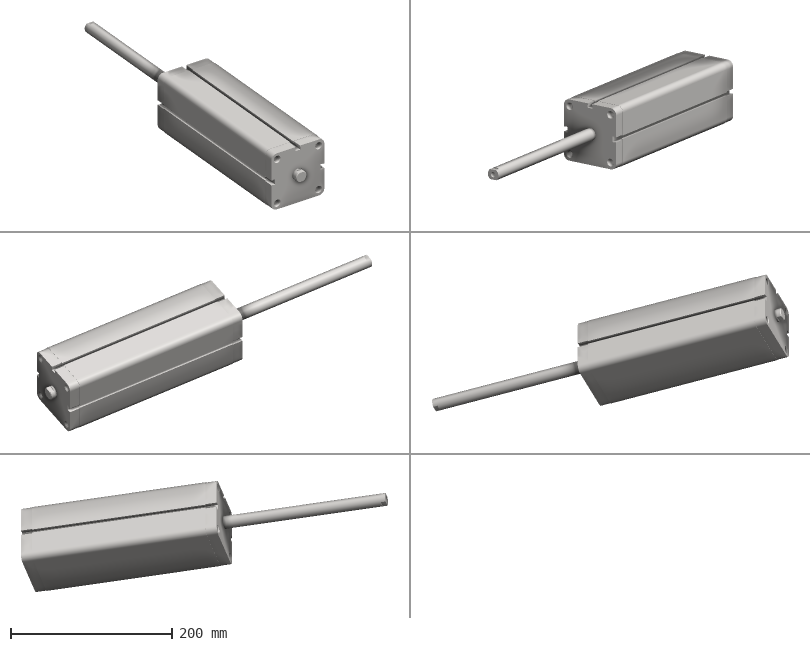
import cadquery as cq
import math

side = 80.0
housing_length = 250.0
cap_length = 14.0
tube_length = housing_length - 2 * cap_length
cap_inset = 0.3
cap_side = side - 2 * cap_inset
corner_radius = 8.0

hole_diameter = 8.0
hole_edge_distance = 9.0
hole_spacing = side - 2 * hole_edge_distance
hole_chamfer = 1.0

tube_mouth = 4.4
cap_mouth = 6.4
undercut_width = 7.4
groove_depth = 6.0
lip_thickness = 2.5
groove_angles = (0, 90, -90)

rod_diameter = 16.0
rod_front_length = 207.0
rod_rear_length = 8.0
rod_length = rod_front_length + housing_length + rod_rear_length
rod_start = -rod_front_length
rod_end = rod_start + rod_length
rear_chamfer = 1.0
bore_chamfer = 0.5

flat_length = 6.0
across_flats = 13.0

tapped_hole_diameter = 6.8
tapped_hole_depth = 20.0
drill_point_angle = 118.0


def section_at(x):
    """Workplane facing +X at the given x, with local axes along Y and Z."""
    return cq.Workplane("YZ", origin=(x, 0, 0))


def make_block(start, length, block_side):
    """Rounded square block with the rod bore and the four corner holes."""
    block = section_at(start).rect(block_side, block_side).extrude(length)
    block = block.edges("|X").fillet(corner_radius)
    bore = section_at(start).circle(rod_diameter / 2).extrude(length)
    corner_holes = (
        section_at(start)
        .rect(hole_spacing, hole_spacing, forConstruction=True)
        .vertices()
        .circle(hole_diameter / 2)
        .extrude(length)
    )
    return block.cut(bore).cut(corner_holes)


def make_channel(start, length, width, top_depth, bottom_depth):
    """Straight channel in the +Z side between two depths below its surface."""
    height = bottom_depth - top_depth
    centre_z = side / 2 - (top_depth + bottom_depth) / 2
    return section_at(start).center(0, centre_z).rect(width, height).extrude(length)


def cut_grooves(block, start, length, mouth_width):
    """Cut a T-shaped groove along each grooved side of the block."""
    mouth = make_channel(start, length, mouth_width, 0, lip_thickness)
    undercut = make_channel(start, length, undercut_width, lip_thickness, groove_depth)
    groove = mouth.union(undercut)
    for angle in groove_angles:
        block = block.cut(groove.rotate((0, 0, 0), (1, 0, 0), angle))
    return block


def make_cap(start, outer_face):
    """End cap whose holes and bore are chamfered on the outer face."""
    cap = make_block(start, cap_length, cap_side)
    hole_rims = cq.selectors.RadiusNthSelector(0)
    cap = cap.faces(outer_face).edges(hole_rims).chamfer(hole_chamfer)
    bore_zone = cq.selectors.BoxSelector(
        (start - cap_length, -rod_diameter, -rod_diameter),
        (start + 2 * cap_length, rod_diameter, rod_diameter),
    )
    cap = cap.faces(outer_face).edges(bore_zone).chamfer(bore_chamfer)
    return cut_grooves(cap, start, cap_length, cap_mouth)


def make_tube():
    """Middle profile between the caps."""
    tube = make_block(cap_length, tube_length, side)
    return cut_grooves(tube, cap_length, tube_length, tube_mouth)


def make_tapped_hole():
    """Blind drilled hole with a conical bottom, revolved about the X axis."""
    radius = tapped_hole_diameter / 2
    point_length = radius / math.tan(math.radians(drill_point_angle / 2))
    bottom = rod_start + tapped_hole_depth
    return (
        cq.Workplane("XY")
        .moveTo(rod_start, 0)
        .lineTo(rod_start, radius)
        .lineTo(bottom, radius)
        .lineTo(bottom + point_length, 0)
        .close()
        .revolve(360, (0, 0, 0), (1, 0, 0))
    )


def make_rod():
    """Round rod with wrench flats at both ends and a tapped hole in the front end."""
    rod = section_at(rod_start).circle(rod_diameter / 2).extrude(rod_length)
    rod = rod.faces(">X").edges().chamfer(rear_chamfer)

    flat_cut_height = (rod_diameter - across_flats) / 2
    flat_offset = (across_flats + flat_cut_height) / 2
    for start in (rod_start, rod_end - flat_length):
        for z in (flat_offset, -flat_offset):
            flat = section_at(start).center(0, z).rect(rod_diameter, flat_cut_height)
            rod = rod.cut(flat.extrude(flat_length))

    return rod.cut(make_tapped_hole())


front_cap = make_cap(0, "<X")
rear_cap = make_cap(housing_length - cap_length, ">X")
tube = make_tube()
rod = make_rod()

result = cq.Compound.makeCompound([front_cap.val(), rear_cap.val(), tube.val(), rod.val()])